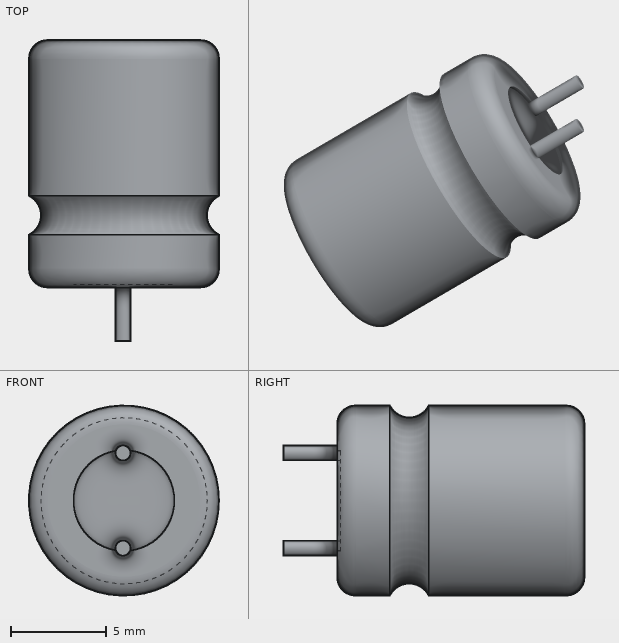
import cadquery as cq

can_diameter = 10.0
can_radius = can_diameter / 2
overall_length = 15.82
lead_length = 2.82
can_length = overall_length - lead_length
edge_radius = 1.0

groove_width = 2.05
groove_depth = 0.63
groove_center = 3.8

recess_diameter = 5.3
recess_depth = 0.17

lead_diameter = 0.79
lead_spacing = 5.0
lead_offset_x = -0.05


def cylinder_along_y(x, z, diameter, y_start, y_end):
    """Solid cylinder parallel to Y between two Y positions."""
    base = cq.Workplane("XZ", origin=(0, y_start, 0)).center(x, z)
    return base.circle(diameter / 2).extrude(y_start - y_end)


def make_can():
    """Can with rounded ends and an arc-shaped groove, revolved about Y."""
    groove_front = groove_center - groove_width / 2
    groove_back = groove_center + groove_width / 2
    profile = (
        cq.Workplane("XY")
        .lineTo(can_radius - edge_radius, 0)
        .radiusArc((can_radius, edge_radius), -edge_radius)
        .lineTo(can_radius, groove_front)
        .threePointArc((can_radius - groove_depth, groove_center), (can_radius, groove_back))
        .lineTo(can_radius, can_length - edge_radius)
        .radiusArc((can_radius - edge_radius, can_length), -edge_radius)
        .lineTo(0, can_length)
        .close()
    )
    return profile.revolve(360, (0, 0, 0), (0, 1, 0))


result = make_can().cut(cylinder_along_y(0, 0, recess_diameter, 0, recess_depth))

for side in (-1, 1):
    lead = cylinder_along_y(lead_offset_x, side * lead_spacing / 2, lead_diameter, -lead_length, recess_depth)
    result = result.union(lead)